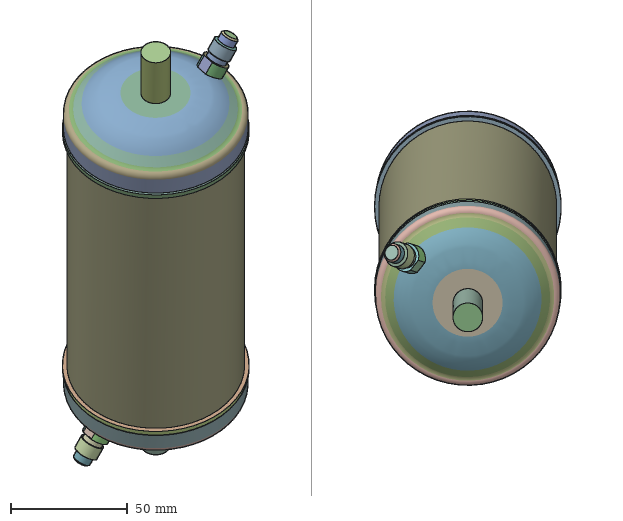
import cadquery as cq
import math

overall_length = 240.0
pipe_radius = 6.35
shell_radius = 38.1

dome_top_z = 95.0
dome_flat_radius = 15.0
dome_arc_radius = 25.0
dome_slope = math.radians(41.8)
shoulder_z = 84.7
shoulder_round = 2.5
cap_radius = 39.6
rim_radius = 40.0
rim_bottom_z = 71.3
rim_height = 2.2
rim_bevel_height = 0.7

fitting_origin_y = 33.1
fitting_origin_z = 94.3
fitting_elevation = math.radians(53.0)
base_radius = 6.15
base_across_flats = 11.0
base_depth = 12.0
neck_radius = 4.7
neck_length = 2.6
nut_radius = 5.4
nut_length = 6.4
nut_bevel_length = 0.5
tip_radius = 4.05
tip_face_radius = 3.2
tip_length = 4.05
tip_bevel_length = 0.8


def make_end_cap():
    """Upper domed cap and half of the shell, revolved about Z."""
    dome_edge_radius = dome_flat_radius + dome_arc_radius * math.sin(dome_slope)
    dome_edge_z = dome_top_z - dome_arc_radius * (1 - math.cos(dome_slope))

    shoulder_radius = cap_radius - shoulder_round
    meeting_radius = dome_edge_radius + (dome_edge_z - shoulder_z) / math.tan(dome_slope)
    tangent_length = shoulder_radius - meeting_radius
    hollow_radius = meeting_radius - tangent_length * math.cos(dome_slope)
    hollow_z = shoulder_z + tangent_length * math.sin(dome_slope)

    rim_top_z = rim_bottom_z + rim_height
    profile = (
        cq.Workplane("XZ")
        .lineTo(shell_radius, 0)
        .lineTo(shell_radius, rim_bottom_z)
        .lineTo(rim_radius, rim_bottom_z)
        .lineTo(rim_radius, rim_top_z)
        .lineTo(cap_radius, rim_top_z + rim_bevel_height)
        .lineTo(cap_radius, shoulder_z - shoulder_round)
        .tangentArcPoint((shoulder_radius, shoulder_z), relative=False)
        .tangentArcPoint((hollow_radius, hollow_z), relative=False)
        .lineTo(dome_edge_radius, dome_edge_z)
        .tangentArcPoint((dome_flat_radius, dome_top_z), relative=False)
        .lineTo(0, dome_top_z)
        .close()
    )
    return profile.revolve(360, (0, 0, 0), (0, 1, 0))


def make_pipe():
    return cq.Workplane("XY").circle(pipe_radius).extrude(overall_length / 2)


def make_fitting():
    """Base with two flats, then neck, nut and tip turned about the tilted axis."""
    origin = (0, fitting_origin_y, fitting_origin_z)
    axis_y = math.cos(fitting_elevation)
    axis_z = math.sin(fitting_elevation)

    across = cq.Plane(origin=origin, xDir=(1, 0, 0), normal=(0, axis_y, axis_z))
    base = cq.Workplane(across).circle(base_radius).extrude(-base_depth)
    flats = cq.Workplane(across).rect(2 * base_radius, base_across_flats).extrude(-base_depth)

    along = cq.Plane(origin=origin, xDir=(1, 0, 0), normal=(0, -axis_z, axis_y))
    nut_end = neck_length + nut_length
    tip_end = nut_end + tip_length
    stem = (
        cq.Workplane(along)
        .lineTo(neck_radius, 0)
        .lineTo(neck_radius, neck_length)
        .lineTo(nut_radius, neck_length)
        .lineTo(nut_radius, nut_end - nut_bevel_length)
        .lineTo(tip_radius, nut_end)
        .lineTo(tip_radius, tip_end - tip_bevel_length)
        .lineTo(tip_face_radius, tip_end)
        .lineTo(0, tip_end)
        .close()
        .revolve(360, (0, 0, 0), (0, 1, 0))
    )
    return base.intersect(flats).union(stem)


upper_half = make_end_cap().union(make_pipe()).union(make_fitting())
lower_half = upper_half.rotate((0, 0, 0), (1, 0, 0), 180)
result = upper_half.union(lower_half)